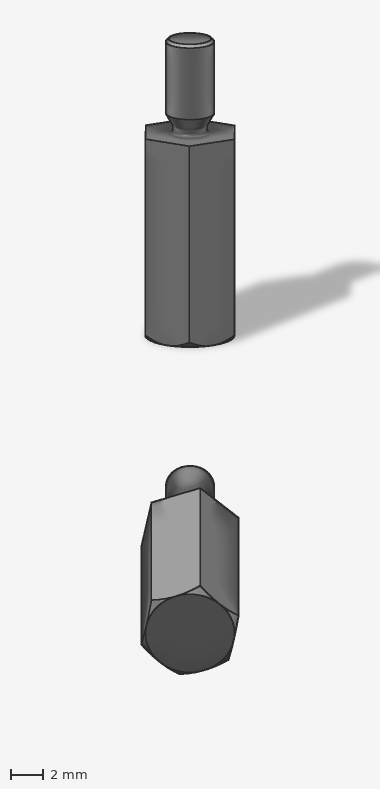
import cadquery as cq
import math

total_height = 19.0
body_height = 13.0
across_flats = 5.5
across_corners = across_flats / math.cos(math.radians(30))

stud_radius = 3.0 / 2
neck_radius = 2.13 / 2
tip_chamfer = 0.19
base_fillet = 0.19
taper_fillet = 0.28
neck_top = body_height + 0.4
taper_angle = math.radians(30)


def make_body():
    """Hexagonal prism whose bottom corners are cut by a 45 degree cone."""
    prism = cq.Workplane("XY").polygon(6, across_corners).extrude(body_height)
    corner_radius = across_corners / 2
    flat_radius = across_flats / 2
    envelope = (
        cq.Workplane("XY")
        .circle(corner_radius)
        .extrude(body_height)
        .faces("<Z")
        .chamfer(corner_radius - flat_radius)
    )
    return prism.intersect(envelope)


def neck_arc_point(fillet, angle, center_z):
    """Point on a neck fillet, at an angle from where it meets the neck wall."""
    radius = neck_radius + fillet * (1 - math.cos(angle))
    return (radius, center_z + fillet * math.sin(angle))


def make_stud():
    """Revolved stud: filleted neck, conical run-out, cylinder, chamfered tip."""
    neck_bottom = body_height + base_fillet
    taper_start = neck_arc_point(taper_fillet, taper_angle, neck_top)
    taper_height = (stud_radius - taper_start[0]) / math.tan(taper_angle)
    taper_top = taper_start[1] + taper_height
    return (
        cq.Workplane("XZ")
        .moveTo(0, body_height)
        .lineTo(neck_radius + base_fillet, body_height)
        .threePointArc(
            neck_arc_point(base_fillet, math.radians(-45), neck_bottom),
            (neck_radius, neck_bottom),
        )
        .lineTo(neck_radius, neck_top)
        .threePointArc(neck_arc_point(taper_fillet, taper_angle / 2, neck_top), taper_start)
        .lineTo(stud_radius, taper_top)
        .lineTo(stud_radius, total_height - tip_chamfer)
        .lineTo(stud_radius - tip_chamfer, total_height)
        .lineTo(0, total_height)
        .close()
        .revolve(360, (0, 0), (0, 1))
    )


result = make_body().union(make_stud())